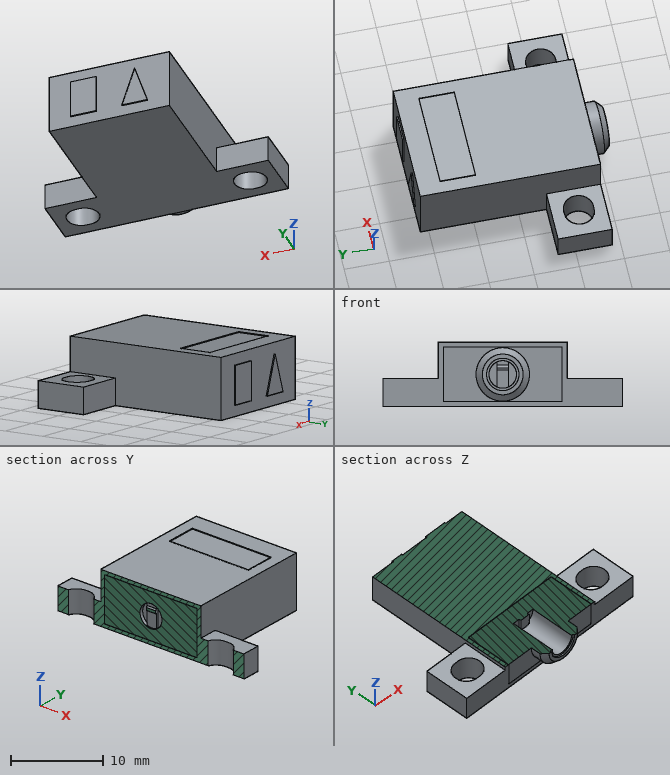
import cadquery as cq


HOUSING_WIDTH = 14.0
HOUSING_LENGTH = 20.0
HOUSING_HEIGHT = 7.0
MID_HEIGHT = HOUSING_HEIGHT / 2

EARS_SPAN = 26.0
EAR_LENGTH = 6.0
EAR_HEIGHT = 3.07
EAR_SLOT_LENGTH = 3.7
EAR_SLOT_WIDTH = 3.28
EAR_SLOT_SPACING = 19.5

LABEL_WIDTH = 11.0
LABEL_LENGTH = 3.93
LABEL_DEPTH = 0.1
LABEL_REAR_MARGIN = 2.52

MARK_WIDTH = 2.96
MARK_HEIGHT = 4.42
MARK_RELIEF = 0.15
MARK_OFFSET = 3.0

INSERT_WIDTH = 12.85
INSERT_HEIGHT = 5.9
INSERT_DEPTH = EAR_LENGTH

NOSE_DIAMETER = 5.8
NOSE_TIP_DIAMETER = 4.42
NOSE_LENGTH = 2.0
NOSE_TAPER_LENGTH = 0.7

BORE_DIAMETER = 3.0
BORE_DEPTH = 6.0
COUNTERBORE_DIAMETER = 3.5
COUNTERBORE_DEPTH = 0.2

RIB_WIDTH = 1.3
RIB_THICKNESS = 0.25
BARB_PROJECTION = 0.35
BARB_TOP = 1.05
BARB_CREST_TOP = 0.7
BARB_BOTTOM = 0.47


def box_from_front(width, depth, height, z_bottom):
    """Box centred in X that starts on the front plane and runs back along +Y."""
    return (
        cq.Workplane("XY")
        .box(width, depth, height, centered=(True, False, False))
        .translate((0, 0, z_bottom))
    )


def make_insert_block():
    return box_from_front(INSERT_WIDTH, INSERT_DEPTH, INSERT_HEIGHT, MID_HEIGHT - INSERT_HEIGHT / 2)


def make_rear_marks():
    """Raised marks; each starts on the rear face and stands out along +Y."""
    bottom = MID_HEIGHT - MARK_HEIGHT / 2
    top = bottom + MARK_HEIGHT
    rear_plane = cq.Workplane("XZ", origin=(0, HOUSING_LENGTH, 0))
    triangle = (
        rear_plane
        .moveTo(-MARK_OFFSET - MARK_WIDTH / 2, bottom)
        .lineTo(-MARK_OFFSET + MARK_WIDTH / 2, bottom)
        .lineTo(-MARK_OFFSET, top)
        .close()
        .extrude(-MARK_RELIEF)
    )
    rectangle = (
        rear_plane
        .center(MARK_OFFSET, MID_HEIGHT)
        .rect(MARK_WIDTH, MARK_HEIGHT)
        .extrude(-MARK_RELIEF)
    )
    return triangle, rectangle


def make_housing():
    body = box_from_front(HOUSING_WIDTH, HOUSING_LENGTH, HOUSING_HEIGHT, 0)
    ears = box_from_front(EARS_SPAN, EAR_LENGTH, EAR_HEIGHT, 0)
    ear_slots = (
        cq.Workplane("XY")
        .pushPoints([(side * EAR_SLOT_SPACING / 2, EAR_LENGTH / 2) for side in (-1, 1)])
        .slot2D(EAR_SLOT_LENGTH, EAR_SLOT_WIDTH)
        .extrude(EAR_HEIGHT)
    )
    label_centre_y = HOUSING_LENGTH - LABEL_REAR_MARGIN - LABEL_LENGTH / 2
    label_recess = (
        cq.Workplane("XY", origin=(0, label_centre_y, HOUSING_HEIGHT))
        .rect(LABEL_WIDTH, LABEL_LENGTH)
        .extrude(-LABEL_DEPTH)
    )
    housing = body.union(ears).cut(ear_slots).cut(label_recess).cut(make_insert_block())
    for mark in make_rear_marks():
        housing = housing.union(mark)
    return housing


def make_nose():
    """Cylinder with a tapered tip, revolved about the nose axis; local Y runs along the part's Y."""
    radius = NOSE_DIAMETER / 2
    return (
        cq.Workplane("XY", origin=(0, 0, MID_HEIGHT))
        .moveTo(0, 0)
        .lineTo(radius, 0)
        .lineTo(radius, NOSE_TAPER_LENGTH - NOSE_LENGTH)
        .lineTo(NOSE_TIP_DIAMETER / 2, -NOSE_LENGTH)
        .lineTo(0, -NOSE_LENGTH)
        .close()
        .revolve(360, (0, 0), (0, 1))
    )


def bore_cylinder(diameter, depth):
    """Cylinder on the nose axis that starts at the nose tip and runs inward along +Y."""
    return (
        cq.Workplane("XZ", origin=(0, -NOSE_LENGTH, MID_HEIGHT))
        .circle(diameter / 2)
        .extrude(-depth)
    )


def make_bore_rib(bore):
    """Rib across the bore floor, trimmed to the wall of the bore."""
    floor = BORE_DEPTH - NOSE_LENGTH
    face = floor - RIB_THICKNESS
    crest = face - BARB_PROJECTION
    reach = BORE_DIAMETER / 2
    rib = (
        cq.Workplane("YZ", origin=(-RIB_WIDTH / 2, 0, MID_HEIGHT))
        .moveTo(floor, -reach)
        .lineTo(floor, reach)
        .lineTo(face, reach)
        .lineTo(face, BARB_TOP)
        .lineTo(crest, BARB_CREST_TOP)
        .lineTo(crest, BARB_BOTTOM)
        .lineTo(face, BARB_BOTTOM)
        .lineTo(face, -reach)
        .close()
        .extrude(RIB_WIDTH)
    )
    return rib.intersect(bore)


def make_insert():
    bore = bore_cylinder(BORE_DIAMETER, BORE_DEPTH)
    counterbore = bore_cylinder(COUNTERBORE_DIAMETER, COUNTERBORE_DEPTH)
    bored_insert = make_insert_block().union(make_nose()).cut(bore).cut(counterbore)
    return bored_insert.union(make_bore_rib(bore))


housing = make_housing()
insert = make_insert()

result = cq.Compound.makeCompound([housing.solids().val(), insert.solids().val()])